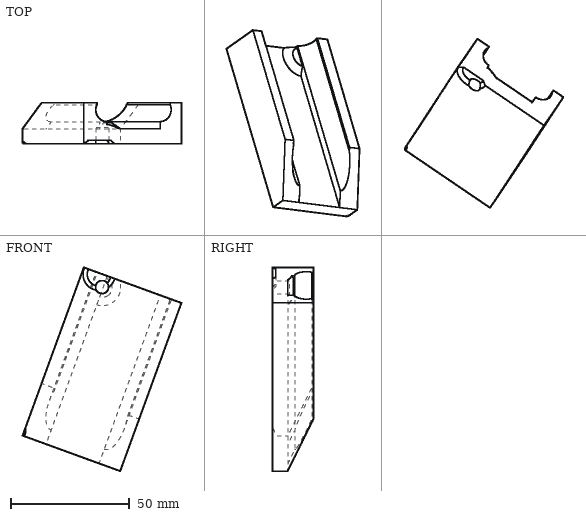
import cadquery as cq
import math

width = 43.9
length = 75.59
thickness = 17.35
lean_angle = 20.0

end_thickness = 6.4
bevel_angle = 25.0

channel_middle = 22.35
channel_radius = 5.0
channel_axis_spacing = 23.8
channel_axis_depth = 14.4
lip_height = 0.75

slot_floor = end_thickness

hole_diameter = 5.5
hole_depth = 7.0
hole_from_left = 10.1
hole_from_top = 5.2
boss_top = 8.8
boss_top_radius = 4.2
boss_base_radius = 7.75

recess_radius = 6.8
recess_floor_radius = 5.0
recess_depth = 1.5
recess_from_left = 7.1
recess_from_top = 0.55

nick_radius = 3.35
nick_from_left = -2.5
nick_from_bottom = 1.4


def y_cone(x, z, y_start, y_end, start_radius, end_radius):
    """Cone or frustum whose axis runs along +Y."""
    return cq.Workplane(
        cq.Solid.makeCone(
            start_radius,
            end_radius,
            y_end - y_start,
            pnt=cq.Vector(x, y_start, z),
            dir=cq.Vector(0, 1, 0),
        )
    )


def make_block():
    bevel_length = (thickness - end_thickness) / math.tan(math.radians(bevel_angle))
    side_outline = [
        (0, 0),
        (end_thickness, 0),
        (thickness, bevel_length),
        (thickness, length),
        (0, length),
    ]
    return cq.Workplane("YZ").polyline(side_outline).close().extrude(width)


def make_channel():
    half_spacing = channel_axis_spacing / 2
    left = channel_middle - half_spacing
    right = channel_middle + half_spacing
    lip_start = thickness - lip_height
    lip_reach = math.sqrt(channel_radius**2 - (lip_start - channel_axis_depth) ** 2)
    floor = channel_axis_depth - channel_radius
    return (
        cq.Workplane("XY")
        .moveTo(left - lip_reach, thickness)
        .lineTo(left - lip_reach, lip_start)
        .threePointArc((left - channel_radius, channel_axis_depth), (left, floor))
        .lineTo(left, slot_floor)
        .lineTo(right, slot_floor)
        .lineTo(right, floor)
        .threePointArc((right + channel_radius, channel_axis_depth), (right + lip_reach, lip_start))
        .lineTo(right + lip_reach, thickness)
        .close()
        .extrude(length)
    )


def make_boss():
    return y_cone(
        hole_from_left,
        length - hole_from_top,
        slot_floor,
        boss_top,
        boss_base_radius,
        boss_top_radius,
    )


def make_hole():
    return cq.Workplane(
        cq.Solid.makeCylinder(
            hole_diameter / 2,
            hole_depth,
            pnt=cq.Vector(hole_from_left, 0, length - hole_from_top),
            dir=cq.Vector(0, 1, 0),
        )
    )


def make_recess():
    return y_cone(
        recess_from_left,
        length - recess_from_top,
        0,
        recess_depth,
        recess_radius,
        recess_floor_radius,
    )


def make_nick():
    return y_cone(nick_from_left, nick_from_bottom, 0, nick_radius, nick_radius, 0)


block = make_block()
channel = make_channel().cut(make_boss())
part = block.cut(channel).cut(make_recess()).cut(make_hole()).cut(make_nick())
result = part.rotate((0, 0, 0), (0, 1, 0), lean_angle)